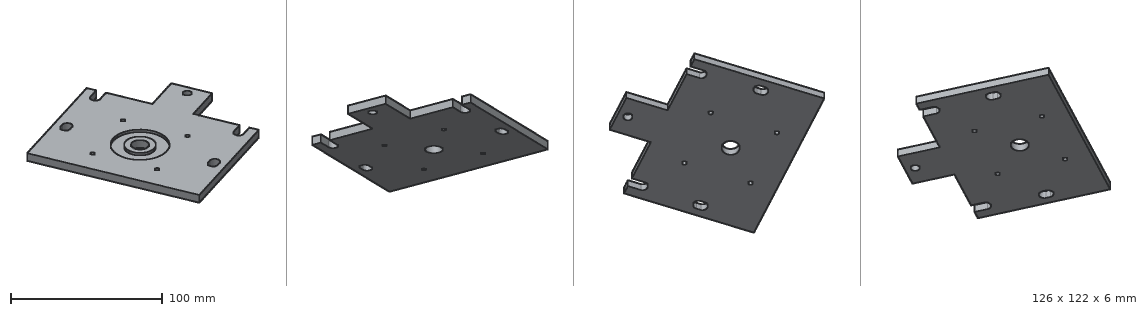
import cadquery as cq

plate_width = 126.0
plate_depth = 92.6
plate_thickness = 6.0
overall_depth = 122.0
tab_width = 30.0
tab_hole_diameter = 6.0
tab_hole_to_end = 7.0

center_y = 41.7
recess_diameter = 39.0
recess_depth = 2.0
ring_diameter = 21.0
shaft_hole_diameter = 12.0

screw_hole_diameter = 3.0
screw_spacing = 47.1

slot_spacing = 108.0
slot_width = 7.0
slot_length = 10.0
notch_spacing = 105.0
notch_width = 7.0
notch_depth = 12.6


def make_plate():
    body = cq.Workplane("XY").box(
        plate_width, plate_depth, plate_thickness, centered=(True, False, False)
    )
    tab = cq.Workplane("XY").box(
        tab_width, overall_depth, plate_thickness, centered=(True, False, False)
    )
    return body.union(tab)


def make_hole(x, y, diameter):
    return cq.Workplane("XY").center(x, y).circle(diameter / 2).extrude(plate_thickness)


def make_slot(x, y, length, width):
    """Through slot with round ends, long along Y and centred on (x, y)."""
    return cq.Workplane("XY").center(x, y).slot2D(length, width, 90).extrude(plate_thickness)


def make_recess():
    """Ring-shaped volume removed from the top face."""
    floor_z = plate_thickness - recess_depth
    return (
        cq.Workplane("XY", origin=(0, center_y, floor_z))
        .circle(recess_diameter / 2)
        .circle(ring_diameter / 2)
        .extrude(recess_depth)
    )


result = make_plate().cut(make_recess())
result = result.cut(make_hole(0, center_y, shaft_hole_diameter))
result = result.cut(make_hole(0, overall_depth - tab_hole_to_end, tab_hole_diameter))

for side in (-1, 1):
    result = result.cut(make_slot(side * slot_spacing / 2, center_y, slot_length, slot_width))

    result = result.cut(make_slot(side * notch_spacing / 2, plate_depth, 2 * notch_depth, notch_width))

    for end in (-1, 1):
        screw_x = side * screw_spacing / 2
        screw_y = center_y + end * screw_spacing / 2
        result = result.cut(make_hole(screw_x, screw_y, screw_hole_diameter))